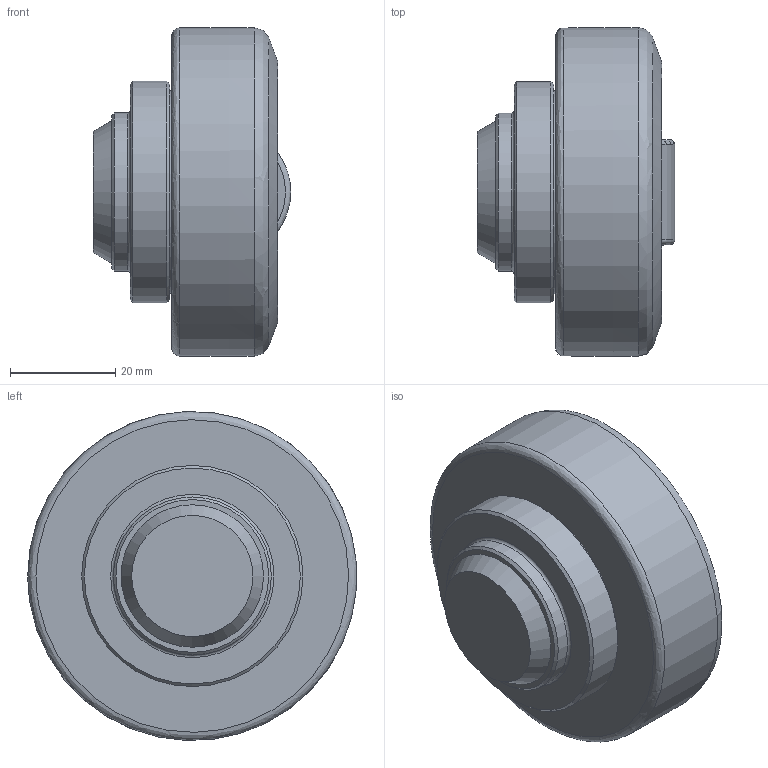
import cadquery as cq
import math

TIP_CONE_LENGTH = 3.5
COLLAR_END = 7.0
FLANGE_END = 14.5
WHEEL_START = 14.9
WHEEL_END = 35.0
SIDE_ROLLER_PROTRUSION = 2.5

TIP_DIAMETER = 23.0
COLLAR_DIAMETER = 30.0
FLANGE_DIAMETER = 42.0
SPACER_DIAMETER = 38.5
WHEEL_DIAMETER = 62.5
WHEEL_BACK_FACE_DIAMETER = 49.5
WHEEL_CROWN_RADIUS = 500.0

TIP_CONE_ANGLE = math.radians(30)
SMALL_CHAMFER = 0.5
COLLAR_ROOT_FILLET = 0.5
WHEEL_FRONT_FILLET = 1.5
WHEEL_BACK_FILLET = 3.0
WHEEL_BACK_CONE_ANGLE = math.radians(20)

SIDE_ROLLER_DIAMETER = 25.0
SIDE_ROLLER_LENGTH = 20.0
SIDE_ROLLER_FILLET = 1.0

WHEEL_MIDDLE = (WHEEL_START + WHEEL_END) / 2
OVERALL_LENGTH = WHEEL_END + SIDE_ROLLER_PROTRUSION


def disc(diameter, start, end):
    """Cylinder on the X axis between two axial positions."""
    return cq.Workplane("YZ", origin=(start, 0, 0)).circle(diameter / 2).extrude(end - start)


def make_tip():
    """Conical tip of the stud, widening towards the collar."""
    tip_radius = TIP_DIAMETER / 2
    base_radius = tip_radius + TIP_CONE_LENGTH * math.tan(TIP_CONE_ANGLE)
    profile = cq.Workplane("XY").polyline([
        (0, 0),
        (0, tip_radius),
        (TIP_CONE_LENGTH, base_radius),
        (TIP_CONE_LENGTH, 0),
    ]).close()
    return profile.revolve(360, (0, 0, 0), (1, 0, 0))


def make_collar():
    """Collar with a chamfered front edge and a concave fillet where it meets the flange."""
    radius = COLLAR_DIAMETER / 2
    bend = COLLAR_ROOT_FILLET * math.sqrt(0.5)
    fillet_center = (COLLAR_END - COLLAR_ROOT_FILLET, radius + COLLAR_ROOT_FILLET)
    profile = (
        cq.Workplane("XY")
        .moveTo(TIP_CONE_LENGTH, 0)
        .lineTo(TIP_CONE_LENGTH, radius - SMALL_CHAMFER)
        .lineTo(TIP_CONE_LENGTH + SMALL_CHAMFER, radius)
        .lineTo(fillet_center[0], radius)
        .threePointArc(
            (fillet_center[0] + bend, fillet_center[1] - bend),
            (COLLAR_END, fillet_center[1]),
        )
        .lineTo(COLLAR_END, 0)
        .close()
    )
    return profile.revolve(360, (0, 0, 0), (1, 0, 0))


def make_flange():
    """Flange with both rims chamfered."""
    return disc(FLANGE_DIAMETER, COLLAR_END, FLANGE_END).edges().chamfer(SMALL_CHAMFER)


def rim_radius(x):
    """Radius of the crowned rolling surface at an axial position."""
    sag = WHEEL_CROWN_RADIUS - math.sqrt(WHEEL_CROWN_RADIUS**2 - (x - WHEEL_MIDDLE) ** 2)
    return WHEEL_DIAMETER / 2 - sag


def make_wheel():
    """Crowned main roller: rounded front rim, rounded back rim running into a shallow cone."""
    back_radius = WHEEL_BACK_FACE_DIAMETER / 2
    cone_depth = (WHEEL_DIAMETER / 2 - back_radius) * math.tan(WHEEL_BACK_CONE_ANGLE)
    cone_start = WHEEL_END - cone_depth
    profile = (
        cq.Workplane("XY")
        .moveTo(WHEEL_START, 0)
        .lineTo(WHEEL_START, rim_radius(WHEEL_START))
        .threePointArc(
            (WHEEL_MIDDLE, rim_radius(WHEEL_MIDDLE)),
            (cone_start, rim_radius(cone_start)),
        )
        .lineTo(WHEEL_END, back_radius)
        .lineTo(WHEEL_END, 0)
        .close()
    )
    wheel = profile.revolve(360, (0, 0, 0), (1, 0, 0))
    wheel = wheel.faces("<X").edges().fillet(WHEEL_FRONT_FILLET)
    back_rim = wheel.edges(cq.selectors.NearestToPointSelector((cone_start, 0, 0)))
    return back_rim.fillet(WHEEL_BACK_FILLET)


def make_side_roller():
    """Exposed cap of the side roller, cut off at the middle of the wheel."""
    radius = SIDE_ROLLER_DIAMETER / 2
    roller = (
        cq.Workplane("XZ", origin=(OVERALL_LENGTH - radius, 0, 0))
        .circle(radius)
        .extrude(SIDE_ROLLER_LENGTH / 2, both=True)
        .edges("%CIRCLE")
        .fillet(SIDE_ROLLER_FILLET)
    )
    return roller.intersect(disc(WHEEL_DIAMETER, WHEEL_MIDDLE, OVERALL_LENGTH))


spacer = disc(SPACER_DIAMETER, FLANGE_END, WHEEL_START)

result = (
    make_tip()
    .union(make_collar())
    .union(make_flange())
    .union(spacer)
    .union(make_wheel())
    .union(make_side_roller())
)